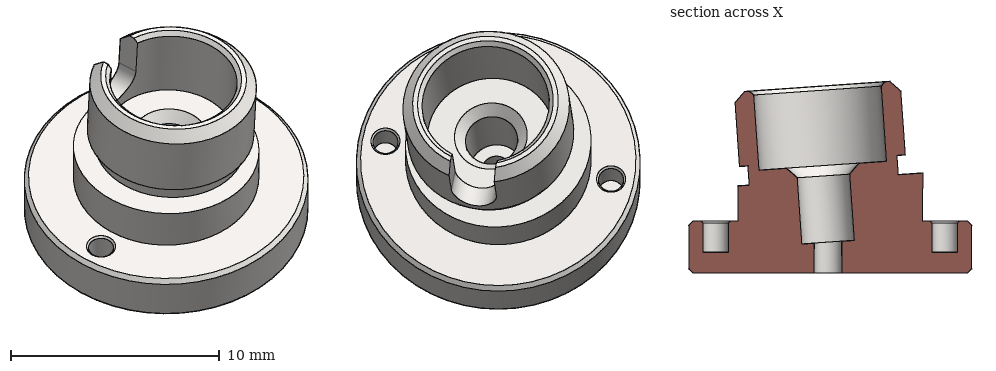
import cadquery as cq
import math

flange_diameter = 13.6
flange_height = 2.5
flange_chamfer = 0.2

lean_angle = 4.0
boss_diameter = 8.9
boss_top = 4.49
neck_diameter = 7.2
head_diameter = 8.0
head_bottom = 5.4
head_top = 8.98
head_chamfer = 0.5

socket_diameter = 6.1
socket_floor = 5.17
socket_chamfer = 0.2
countersink_diameter = 3.5
counterbore_diameter = 2.5
counterbore_floor = 1.5
countersink_depth = (countersink_diameter - counterbore_diameter) / 2

through_diameter = 1.3
through_offset = counterbore_floor * math.sin(math.radians(lean_angle))

slot_width = 2.2
slot_bottom = 5.77

pin_diameter = 1.2
pin_offset = 5.5
pin_depth = 1.5
pin_chamfer = 0.1

overshoot = 1.36


def lean(body):
    """Tilt an upright body about the X axis so that its top moves toward +Y."""
    return body.rotate((0, 0, 0), (1, 0, 0), -lean_angle)


def cylinder(diameter, bottom, top):
    return cq.Workplane("XY").workplane(offset=bottom).circle(diameter / 2).extrude(top - bottom)


def cone(bottom_diameter, bottom, top_diameter, top):
    """Truncated cone about the Z axis."""
    profile = [(0, bottom), (bottom_diameter / 2, bottom), (top_diameter / 2, top), (0, top)]
    return cq.Workplane("XZ").polyline(profile).close().revolve(360, (0, 0, 0), (0, 1, 0))


def make_flange():
    return cylinder(flange_diameter, 0, flange_height).edges().chamfer(flange_chamfer)


def make_boss():
    """Upright boss whose top is cut square to the leaning axis."""
    boss = cylinder(boss_diameter, 0, head_bottom)
    above_boss = lean(cylinder(flange_diameter, boss_top, head_top))
    return boss.cut(above_boss)


def make_head():
    """Leaning neck and the wider, chamfered head on it."""
    neck = cylinder(neck_diameter, flange_height, head_bottom)
    head = cylinder(head_diameter, head_bottom, head_top).faces(">Z").edges().chamfer(head_chamfer)
    return lean(neck.union(head))


def make_bore():
    """Socket, countersink and counterbore as one cutting solid."""
    mouth_diameter = socket_diameter + 2 * socket_chamfer
    countersink_bottom = socket_floor - countersink_depth
    bore = cylinder(socket_diameter, socket_floor, head_top + overshoot)
    bore = bore.union(cone(socket_diameter, head_top - socket_chamfer, mouth_diameter, head_top))
    bore = bore.union(cone(counterbore_diameter, countersink_bottom, countersink_diameter, socket_floor))
    bore = bore.union(cylinder(counterbore_diameter, counterbore_floor, countersink_bottom))
    return lean(bore)


def make_through_hole():
    hole = cylinder(through_diameter, -overshoot, socket_floor)
    return hole.translate((0, through_offset, 0))


def make_slot():
    """Round-bottomed slot, open at the top, running outward from the axis toward -X."""
    half_width = slot_width / 2
    arc_center = slot_bottom + half_width
    slot_top = head_top + overshoot
    outline = (
        cq.Workplane("YZ")
        .moveTo(-half_width, slot_top)
        .lineTo(-half_width, arc_center)
        .threePointArc((0, slot_bottom), (half_width, arc_center))
        .lineTo(half_width, slot_top)
        .close()
    )
    return lean(outline.extrude(-head_diameter))


def make_pin_hole():
    """Blind hole with a chamfered mouth, on the Z axis."""
    hole = cylinder(pin_diameter, flange_height - pin_depth, flange_height)
    mouth_diameter = pin_diameter + 2 * pin_chamfer
    return hole.union(cone(pin_diameter, flange_height - pin_chamfer, mouth_diameter, flange_height))


result = make_flange().union(make_boss()).union(make_head())
result = result.cut(make_bore()).cut(make_through_hole()).cut(make_slot())
for side in (-1, 1):
    result = result.cut(make_pin_hole().translate((0, side * pin_offset, 0)))